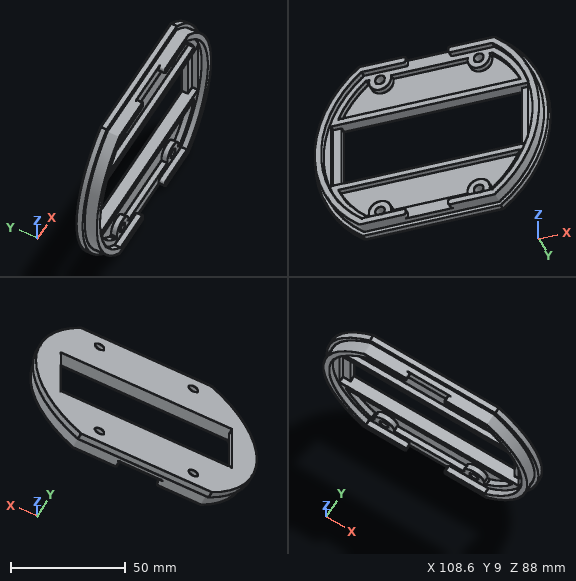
import cadquery as cq

half_width = 54.3
half_height = 44.0
flat_half_length = 32.1

flange_depth = 3.0
ledge_depth = 6.0
total_depth = 9.0
pocket_floor_depth = flange_depth
window_step_depth = flange_depth

spigot_inset = 2.0
rim_thickness = 3.0
pocket_inset = 7.9
spigot_corner_radius = 1.0

notch_half_length = 9.9
rim_end_radius = 1.1

window_half_height = 15.9
window_half_length = 42.0
step_length = 3.9
window_bar_height = 2.9

hole_diameter = 4.5
boss_radius = 5.2
hole_x = 23.0
hole_z = 35.0


def plane_at(depth):
    """XZ work plane at a distance from the back face, facing the front (-Y)."""
    return cq.Workplane("XZ").workplane(offset=depth)


def flattened_disc(inset, start, end):
    """Solid with the outer outline moved inwards by an inset, between two depths."""
    outline = (
        plane_at(start)
        .moveTo(-flat_half_length, half_height)
        .lineTo(flat_half_length, half_height)
        .threePointArc((half_width, 0), (flat_half_length, -half_height))
        .lineTo(-flat_half_length, -half_height)
        .threePointArc((-half_width, 0), (-flat_half_length, half_height))
        .close()
    )
    if inset:
        outline = outline.offset2D(-inset)
    return outline.extrude(end - start)


def block(half_x, half_z, start, end):
    """Centred rectangular block between two depths."""
    return plane_at(start).rect(2 * half_x, 2 * half_z).extrude(end - start)


def hole_pattern(depth):
    """The four screw positions on a plane at the given depth."""
    return plane_at(depth).rect(2 * hole_x, 2 * hole_z, forConstruction=True).vertices()


def make_spigot(start, end):
    """Slice of the narrower spigot with its corners rounded."""
    spigot = flattened_disc(spigot_inset, start, end)
    return spigot.edges("|Y").fillet(spigot_corner_radius)


def make_body():
    """Back flange and the narrower spigot, solid up to the ledge."""
    flange = flattened_disc(0, 0, flange_depth)
    return flange.union(make_spigot(flange_depth, ledge_depth))


def make_rim():
    """Raised rim, interrupted at both flats, with rounded free ends."""
    outer = make_spigot(ledge_depth, total_depth)
    inner = flattened_disc(spigot_inset + rim_thickness, ledge_depth, total_depth)
    notches = block(notch_half_length, half_height, ledge_depth, total_depth)
    rim = outer.cut(inner).cut(notches)
    end_zone = cq.selectors.BoxSelector(
        (-notch_half_length - rim_end_radius, -total_depth, -half_height),
        (notch_half_length + rim_end_radius, 0, half_height),
    )
    return rim.edges("|Y").edges(end_zone).fillet(rim_end_radius)


def make_pockets():
    """Pockets above and below the window, leaving the screw bosses standing."""
    pockets = flattened_disc(pocket_inset, pocket_floor_depth, ledge_depth)
    window_frame = block(
        half_width, window_half_height + window_bar_height, pocket_floor_depth, ledge_depth
    )
    boss_height = ledge_depth - pocket_floor_depth
    bosses = hole_pattern(pocket_floor_depth).circle(boss_radius).extrude(boss_height)
    return pockets.cut(window_frame).cut(bosses)


window = block(window_half_length, window_half_height, 0, total_depth)
window_step = block(window_half_length + step_length, window_half_height, window_step_depth, total_depth)
screw_holes = hole_pattern(0).circle(hole_diameter / 2).extrude(total_depth)

result = (
    make_body()
    .union(make_rim())
    .cut(make_pockets())
    .cut(window)
    .cut(window_step)
    .cut(screw_holes)
)